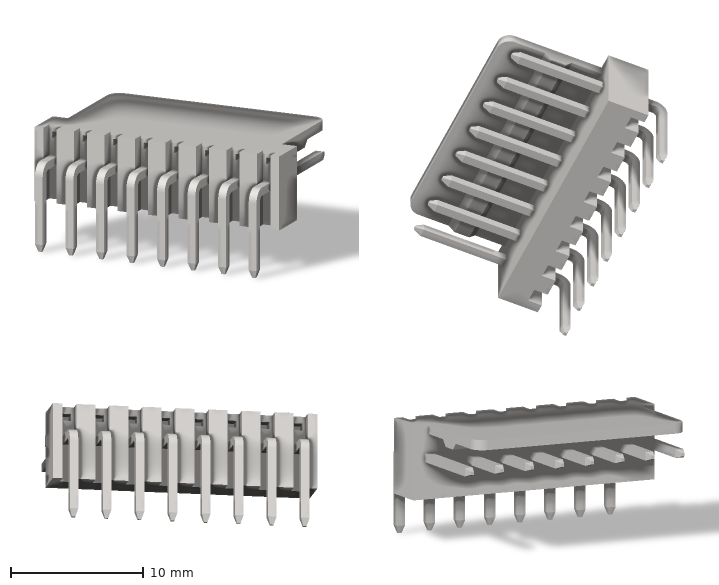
import cadquery as cq


pin_count = 8
housing_length = 20.32
pitch = housing_length / pin_count
pin_positions = [(i - (pin_count - 1) / 2) * pitch for i in range(pin_count)]

housing_depth = 3.31
housing_height = 5.81
slot_width = 1.1
slot_depth = 1.12
housing_back = -housing_depth
slot_floor = housing_back + slot_depth

recess_height = 0.53
recess_top = -0.53
recess_depth = 1.02

plate_length = 8.19
plate_thickness = 0.8
plate_corner_radius = 1.0
plate_width = housing_length - pitch

ridge_start = 2.45
ridge_end = 4.7
ridge_height = 0.53
ridge_slope_run = 0.5

pin_size = 0.65
pin_top = -2.28
pin_end = 7.48
tip_length = 0.6
tip_size = 0.26
total_depth = 13.51
total_height = 9.2
pin_outer_face = plate_length - total_depth
inner_bend_radius = 0.35
outer_bend_radius = inner_bend_radius + pin_size
pin_bottom = pin_top - pin_size


def box(width, y_range, z_range):
    """Block centred on X = 0 between the given Y and Z limits."""
    y_low, y_high = y_range
    z_low, z_high = z_range
    block = cq.Workplane("XY").box(width, y_high - y_low, z_high - z_low, centered=(True, False, False))
    return block.translate((0, y_low, z_low))


def make_housing():
    """Block with an open vertical slot and a recess behind every pin bend."""
    housing = box(housing_length, (housing_back, 0), (-housing_height, 0))
    slot = box(slot_width, (housing_back, slot_floor), (-housing_height, 0))
    recess = box(pin_size, (slot_floor, slot_floor + recess_depth), (recess_top - recess_height, recess_top))
    for x in pin_positions:
        housing = housing.cut(slot.translate((x, 0, 0)))
        housing = housing.cut(recess.translate((x, 0, 0)))
    return housing


def make_plate():
    """Plate with rounded free corners and a ridge along its underside."""
    plate = box(plate_width, (0, plate_length), (-plate_thickness, 0))
    plate = plate.edges("|Z and >Y").fillet(plate_corner_radius)
    ridge_bottom = -plate_thickness - ridge_height
    ridge = (
        cq.Workplane("YZ")
        .polyline([
            (ridge_start, -plate_thickness),
            (ridge_start + ridge_slope_run, ridge_bottom),
            (ridge_end - ridge_slope_run, ridge_bottom),
            (ridge_end, -plate_thickness),
        ])
        .close()
        .extrude(plate_width / 2, both=True)
    )
    return plate.union(ridge)


def make_tip(base_plane):
    """Tapered square tip growing along the plane's normal."""
    return (
        cq.Workplane(base_plane)
        .rect(pin_size, pin_size)
        .workplane(offset=tip_length)
        .rect(tip_size, tip_size)
        .loft(ruled=True)
    )


def make_pin():
    """L-shaped square pin with a rounded bend and a tapered tip at each end."""
    shaft_end = pin_end - tip_length
    leg_end = -total_height + tip_length
    pin_inner_face = pin_outer_face + pin_size
    body = (
        cq.Workplane("YZ")
        .moveTo(shaft_end, pin_top)
        .lineTo(pin_outer_face + outer_bend_radius, pin_top)
        .radiusArc((pin_outer_face, pin_top - outer_bend_radius), -outer_bend_radius)
        .lineTo(pin_outer_face, leg_end)
        .lineTo(pin_inner_face, leg_end)
        .lineTo(pin_inner_face, pin_bottom - inner_bend_radius)
        .radiusArc((pin_inner_face + inner_bend_radius, pin_bottom), inner_bend_radius)
        .lineTo(shaft_end, pin_bottom)
        .close()
        .extrude(pin_size / 2, both=True)
    )
    shaft_centre = (0, shaft_end, pin_top - pin_size / 2)
    leg_centre = (0, pin_outer_face + pin_size / 2, leg_end)
    shaft_tip = make_tip(cq.Plane(shaft_centre, xDir=(1, 0, 0), normal=(0, 1, 0)))
    leg_tip = make_tip(cq.Plane(leg_centre, xDir=(1, 0, 0), normal=(0, 0, -1)))
    return body.union(shaft_tip).union(leg_tip)


result = make_housing().union(make_plate())
pin = make_pin()
for x in pin_positions:
    result = result.union(pin.translate((x, 0, 0)))